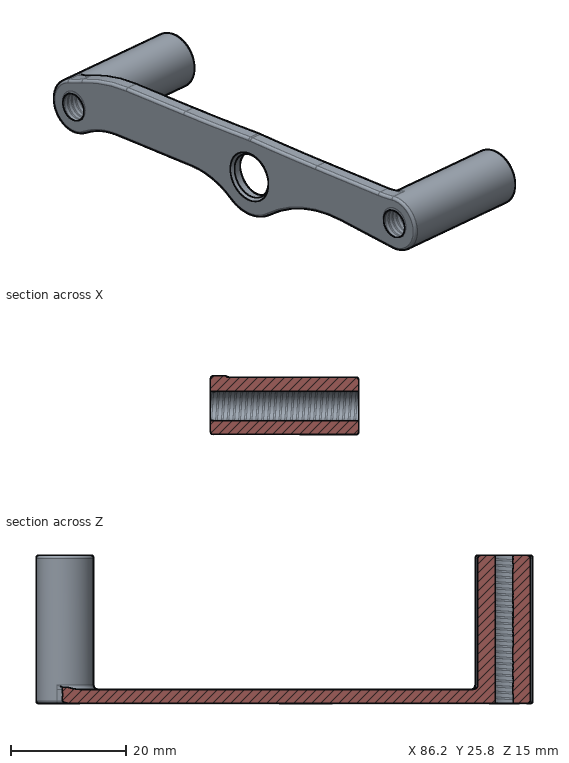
import cadquery as cq
import math

plate_thickness = 2.5
post_length = 25.8
edge_round = 0.5

hub_radius = 7.5
hub_hole_diameter = 8.0
hub_hole_chamfer = 0.5

post_radius = 5.0
left_post = (-41.8, -0.6)
right_post = (34.4, 2.5)
foot_fillet = 0.8

thread_minor_diameter = 5.0
thread_major_diameter = 6.1
thread_pitch = 1.0
thread_mouth_width = 0.8
thread_root_width = 0.13
thread_overlap = 0.1
thread_start_angle = 100

top_step = 0.24
top_z = hub_radius - top_step
lower_left_z = -2.8
shoulder_x = -29.3
right_arch_x = 19.2

hub_top_blend = 500.1
shoulder_radius = 30.0
left_top_blend = 50.0
right_top_blend = 25.0
lower_left_blend = 15.0
right_arch_radius = 25.0

hub = (0.0, 0.0)


def point_towards(start, target, distance):
    """Point at a given distance from start on the ray to target."""
    span = math.dist(start, target)
    return tuple(a + (b - a) * distance / span for a, b in zip(start, target))


def arc_middle(center, radius, start, end):
    """Middle point of the shorter arc between two points of a circle."""
    return point_towards(center, ((start[0] + end[0]) / 2, (start[1] + end[1]) / 2), radius)


def blend_center_on_line(circle, radius, line_z, blend, side_x, side_z):
    """Centre of a blend arc that touches a level line and the outside of a circle."""
    center_z = line_z + side_z * blend
    offset = math.sqrt((radius + blend) ** 2 - (center_z - circle[1]) ** 2)
    return (circle[0] + side_x * offset, center_z)


def blend_center_above(left, left_radius, right, right_radius, blend):
    """Centre of a blend arc that touches two circles from outside, lying above them."""
    to_left = left_radius + blend
    to_right = right_radius + blend
    span = math.dist(left, right)
    along = (span**2 + to_left**2 - to_right**2) / (2 * span)
    across = math.sqrt(to_left**2 - along**2)
    unit = ((right[0] - left[0]) / span, (right[1] - left[1]) / span)
    return (left[0] + along * unit[0] - across * unit[1], left[1] + along * unit[1] + across * unit[0])


def arm_outline():
    """Closed outline of the arm in the XZ plane, clockwise from the left end of the flat top."""
    shoulder = (shoulder_x, top_z - shoulder_radius)
    left_top = blend_center_above(left_post, post_radius, shoulder, shoulder_radius, left_top_blend)
    hub_top_left = blend_center_on_line(hub, hub_radius, top_z, hub_top_blend, -1, 1)
    hub_top_right = blend_center_on_line(hub, hub_radius, top_z, hub_top_blend, 1, 1)
    right_top = blend_center_on_line(right_post, post_radius, top_z, right_top_blend, -1, 1)
    post_low = blend_center_on_line(left_post, post_radius, lower_left_z, lower_left_blend, 1, -1)
    hub_low = blend_center_on_line(hub, hub_radius, lower_left_z, lower_left_blend, -1, -1)
    arch_drop = math.sqrt((hub_radius + right_arch_radius) ** 2 - right_arch_x**2)
    arch = (right_arch_x, -arch_drop)

    arch_to_post = math.atan2(right_post[1] - arch[1], right_post[0] - arch[0])
    swing = math.acos((right_arch_radius + post_radius) / math.dist(arch, right_post))
    normal = arch_to_post + swing
    arch_end = (
        arch[0] + right_arch_radius * math.cos(normal),
        arch[1] + right_arch_radius * math.sin(normal),
    )
    post_under = (
        right_post[0] - post_radius * math.cos(normal),
        right_post[1] - post_radius * math.sin(normal),
    )

    shoulder_end = (shoulder_x, top_z)
    hub_rise = (hub_top_left[0], top_z)
    hub_crest_left = point_towards(hub, hub_top_left, hub_radius)
    hub_crest_right = point_towards(hub, hub_top_right, hub_radius)
    hub_fall = (hub_top_right[0], top_z)
    right_rise = (right_top[0], top_z)
    right_crest = point_towards(right_post, right_top, post_radius)
    hub_right = point_towards(hub, arch, hub_radius)
    hub_left = point_towards(hub, hub_low, hub_radius)
    lower_end = (hub_low[0], lower_left_z)
    lower_start = (post_low[0], lower_left_z)
    left_under = point_towards(left_post, post_low, post_radius)
    left_crest = point_towards(left_post, left_top, post_radius)
    shoulder_start = point_towards(shoulder, left_top, shoulder_radius)

    return (
        cq.Workplane("XZ")
        .moveTo(*shoulder_end)
        .lineTo(*hub_rise)
        .threePointArc(arc_middle(hub_top_left, hub_top_blend, hub_rise, hub_crest_left), hub_crest_left)
        .threePointArc((0, hub_radius), hub_crest_right)
        .threePointArc(arc_middle(hub_top_right, hub_top_blend, hub_crest_right, hub_fall), hub_fall)
        .lineTo(*right_rise)
        .threePointArc(arc_middle(right_top, right_top_blend, right_rise, right_crest), right_crest)
        .threePointArc((right_post[0] + post_radius, right_post[1]), post_under)
        .lineTo(*arch_end)
        .threePointArc(arc_middle(arch, right_arch_radius, arch_end, hub_right), hub_right)
        .threePointArc((0, -hub_radius), hub_left)
        .threePointArc(arc_middle(hub_low, lower_left_blend, hub_left, lower_end), lower_end)
        .lineTo(*lower_start)
        .threePointArc(arc_middle(post_low, lower_left_blend, lower_start, left_under), left_under)
        .threePointArc((left_post[0] - post_radius, left_post[1]), left_crest)
        .threePointArc(arc_middle(left_top, left_top_blend, left_crest, shoulder_start), shoulder_start)
        .threePointArc(arc_middle(shoulder, shoulder_radius, shoulder_start, shoulder_end), shoulder_end)
        .close()
    )


def make_post(center):
    """Full-length round post with a rounded rear rim."""
    post = cq.Workplane("XZ", origin=(center[0], 0, center[1])).circle(post_radius)
    return post.extrude(-post_length).faces(">Y").edges().fillet(edge_round)


def make_foot(center):
    """Concave ring between post and plate, kept within the arm outline."""
    foot_top = plate_thickness + foot_fillet
    foot_edge = post_radius + foot_fillet
    arc_offset = foot_fillet * (1 - math.sqrt(0.5))
    ring = (
        cq.Workplane("XY", origin=(center[0], 0, center[1]))
        .moveTo(post_radius, plate_thickness)
        .lineTo(foot_edge, plate_thickness)
        .threePointArc((post_radius + arc_offset, plate_thickness + arc_offset), (post_radius, foot_top))
        .close()
        .revolve(360, (0, 0, 0), (0, 1, 0))
    )
    return ring.intersect(arm_outline().extrude(-foot_top))


def thread_groove():
    """Helical V-shaped groove around the Y axis, running out past both ends of a post."""
    minor_radius = thread_minor_diameter / 2
    major_radius = thread_major_diameter / 2
    inner_radius = minor_radius - thread_overlap
    profile = [
        (inner_radius, -thread_mouth_width / 2),
        (major_radius, -thread_root_width / 2),
        (major_radius, thread_root_width / 2),
        (inner_radius, thread_mouth_width / 2),
    ]
    helix = cq.Wire.makeHelix(thread_pitch, post_length + thread_pitch, minor_radius)
    groove = cq.Workplane("XZ").polyline(profile).close().sweep(cq.Workplane(obj=helix), isFrenet=True)
    along_y = groove.translate((0, 0, -thread_pitch / 2)).rotate((0, 0, 0), (1, 0, 0), -90)
    return along_y.rotate((0, 0, 0), (0, 1, 0), thread_start_angle)


posts = [make_post(left_post), make_post(right_post)]
result = arm_outline().extrude(-plate_thickness)
for post in posts:
    result = result.cut(post).union(post)
result = result.faces("<Y").edges().fillet(edge_round)

for post_center in (left_post, right_post):
    result = result.union(make_foot(post_center), clean=False)

hub_hole = cq.Workplane("XZ").circle(hub_hole_diameter / 2).extrude(-plate_thickness)
result = result.cut(hub_hole, clean=False)
for rim_y in (0, plate_thickness):
    rim = cq.selectors.NearestToPointSelector((0, rim_y, 0))
    result = result.edges(rim).chamfer(hub_hole_chamfer)

drills = cq.Workplane("XZ").pushPoints([left_post, right_post]).circle(thread_minor_diameter / 2)
result = result.cut(drills.extrude(-post_length), clean=False)
groove = thread_groove()
for x, z in (left_post, right_post):
    result = result.cut(groove.translate((x, 0, z)), clean=False)